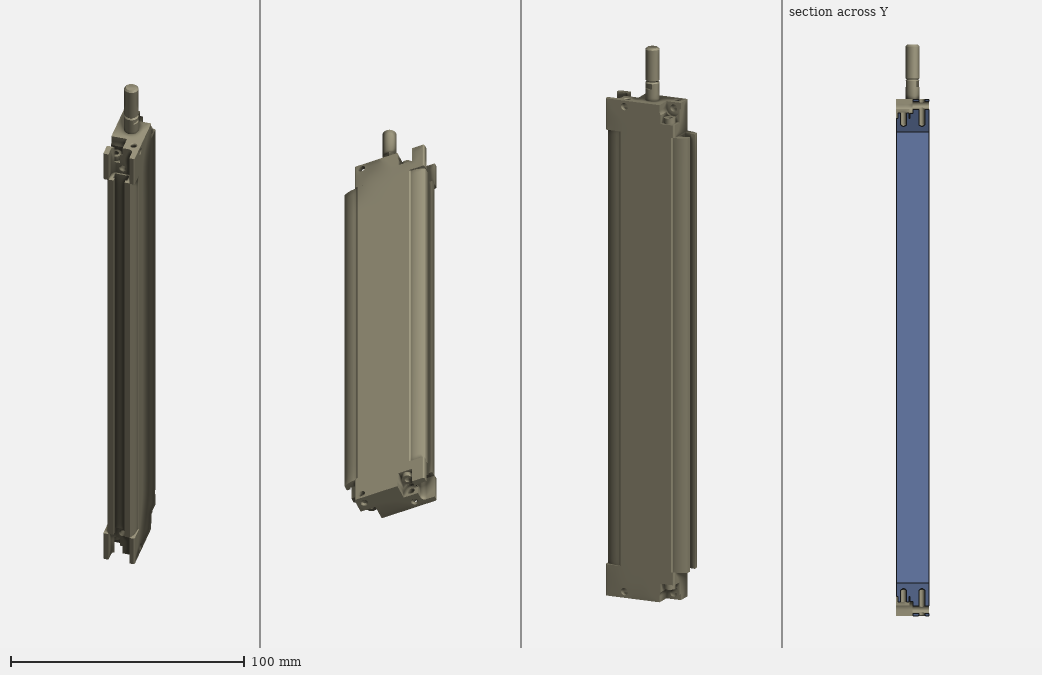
import cadquery as cq
import math

TOTAL_LENGTH = 245.0
CAP_LENGTH = 14.0
ROD_PROTRUSION = 23.3
TUBE_LENGTH = TOTAL_LENGTH - ROD_PROTRUSION - 2 * CAP_LENGTH
TUBE_TOP = CAP_LENGTH + TUBE_LENGTH

WIDTH = 14.0
HALF_WIDTH = WIDTH / 2
TUBE_HALF_DEPTH = 18.9
SIDE_FLAT_HALF_DEPTH = 12.0
FLANGE_ROOT_HALF_WIDTH = 6.4
FLANGE_ROOT_Y = 12.7
FLANGE_TIP_HALF_WIDTH = 5.0
FLANGE_BULGE = 0.5
TUBE_SLOT_FLOOR_Y = 14.0
TUBE_SLOT_HALF_MOUTH = 2.5
TUBE_SLOT_HALF_WIDTH = 3.2
LIP_THICKNESS = 1.7

CAP_BACK_Y = 13.5
CAP_SLOT_FLOOR_Y = -13.2
POST_TIP_Y = -19.0
CAP_SLOT_HALF_WIDTH = 4.7
CAP_SLOT_FILLET = 2.0
CAP_CORNER_RADIUS = 0.7

SCREW_HOLE_DIAMETER = 2.5
SCREW_HOLE_MOUTH = 3.2
CROSS_HOLE_DIAMETER = 3.2
SCREW_X = 4.0
SCREW_Y = 10.0
SCREW_HOLE_DEPTH = 11.0
CROSS_HOLE_DEPTH = 2.7
CROSS_RECESS_RADIUS = 3.5
BOSS_POCKET_WIDTH = 6.4
BOSS_POCKET_Y = -10.3
BOSS_POCKET_WALL_X = -1.2
BOSS_POCKET_DEPTH = 8.3
BOSS_DIAMETER = 5.0
BOSS_HEIGHT = 2.5
SLOT_HOLE_FROM_END = 11.0
SLOT_HOLE_DEPTH = 5.0
DRILL_TIP_ANGLE = 118.0

ROD_DIAMETER = 6.1
ROD_CHAMFER = 0.7
GROOVE_DIAMETER = 5.0
GROOVE_FROM_TOP = 14.5
GROOVE_WIDTH = 1.2
FLAT_LENGTH = 2.5
FLATS_ACROSS = 4.7
FLATS_ANGLE = -20.0


def mirrored_outline(right_side):
    """Points of a right-hand side followed by their mirror images across the YZ plane."""
    return right_side + [(-x, y) for x, y in reversed(right_side)]


def slot_cutter(direction):
    """T-slot along the tube; direction is +1 or -1 for the Y side it opens to."""
    lip_y = TUBE_HALF_DEPTH - LIP_THICKNESS
    half = [
        (TUBE_SLOT_HALF_WIDTH, TUBE_SLOT_FLOOR_Y),
        (TUBE_SLOT_HALF_WIDTH, lip_y),
        (TUBE_SLOT_HALF_MOUTH, lip_y),
        (TUBE_SLOT_HALF_MOUTH, TUBE_HALF_DEPTH),
    ]
    outline = [(x, direction * y) for x, y in mirrored_outline(half)]
    return cq.Workplane("XY").polyline(outline).close().extrude(TUBE_LENGTH)


def make_tube():
    """Flat-sided bar whose four slot flanges step in from the sides and curve to narrow tips."""
    arc_mid = (
        (FLANGE_ROOT_HALF_WIDTH + FLANGE_TIP_HALF_WIDTH) / 2 + FLANGE_BULGE,
        (FLANGE_ROOT_Y + TUBE_HALF_DEPTH) / 2,
    )
    profile = cq.Workplane("XY").moveTo(HALF_WIDTH, -SIDE_FLAT_HALF_DEPTH)
    for side in (1, -1):
        profile = (
            profile.lineTo(side * HALF_WIDTH, side * SIDE_FLAT_HALF_DEPTH)
            .lineTo(side * FLANGE_ROOT_HALF_WIDTH, side * FLANGE_ROOT_Y)
            .threePointArc(
                (side * arc_mid[0], side * arc_mid[1]),
                (side * FLANGE_TIP_HALF_WIDTH, side * TUBE_HALF_DEPTH),
            )
            .lineTo(-side * FLANGE_TIP_HALF_WIDTH, side * TUBE_HALF_DEPTH)
            .threePointArc(
                (-side * arc_mid[0], side * arc_mid[1]),
                (-side * FLANGE_ROOT_HALF_WIDTH, side * FLANGE_ROOT_Y),
            )
            .lineTo(-side * HALF_WIDTH, side * SIDE_FLAT_HALF_DEPTH)
        )
    tube = profile.close().extrude(TUBE_LENGTH)
    for direction in (1, -1):
        tube = tube.cut(slot_cutter(direction))
    return tube.translate((0, 0, CAP_LENGTH))


def drilled_hole(diameter, depth):
    """Drill shape along +Z from the origin, with a chamfered mouth and a conical tip."""
    radius = diameter / 2
    tip = radius / math.tan(math.radians(DRILL_TIP_ANGLE / 2))
    mouth_radius = SCREW_HOLE_MOUTH / 2
    outline = [
        (0, 0),
        (mouth_radius, 0),
        (radius, mouth_radius - radius),
        (radius, depth),
        (0, depth + tip),
    ]
    return cq.Workplane("XZ").polyline(outline).close().revolve(360, (0, 0, 0), (0, 1, 0))


def cap_blank():
    """Cap block with two posts towards -Y and a slot between them with rounded floor corners."""
    depth = CAP_BACK_Y - POST_TIP_Y
    slot_depth = CAP_SLOT_FLOOR_Y - POST_TIP_Y
    slot = (
        cq.Workplane("XY")
        .box(2 * CAP_SLOT_HALF_WIDTH, slot_depth, CAP_LENGTH, centered=(True, False, False))
        .edges("|Z and >Y")
        .fillet(CAP_SLOT_FILLET)
        .translate((0, POST_TIP_Y, 0))
    )
    return (
        cq.Workplane("XY")
        .box(WIDTH, depth, CAP_LENGTH, centered=(True, False, False))
        .edges("|Z")
        .fillet(CAP_CORNER_RADIUS)
        .translate((0, POST_TIP_Y, 0))
        .cut(slot)
    )


def corner_pocket():
    """Recess at the -X, -Y corner: a round-ended recess around the cross hole and
    a deeper square pocket that leaves a round boss around the end-face screw hole."""
    cross_recess = (
        cq.Workplane("YZ")
        .moveTo(-SCREW_Y - CROSS_RECESS_RADIUS, 0)
        .lineTo(-SCREW_Y - CROSS_RECESS_RADIUS, CROSS_HOLE_DEPTH)
        .threePointArc(
            (-SCREW_Y, CROSS_HOLE_DEPTH + CROSS_RECESS_RADIUS),
            (-SCREW_Y + CROSS_RECESS_RADIUS, CROSS_HOLE_DEPTH),
        )
        .lineTo(-SCREW_Y + CROSS_RECESS_RADIUS, 0)
        .close()
        .extrude(-HALF_WIDTH)
    )
    pocket_length = BOSS_POCKET_WALL_X + HALF_WIDTH
    boss_pocket = (
        cq.Workplane("XY")
        .box(pocket_length, BOSS_POCKET_WIDTH, BOSS_POCKET_DEPTH, centered=(False, True, False))
        .translate((-HALF_WIDTH, BOSS_POCKET_Y, 0))
    )
    boss = (
        cq.Workplane("XY", origin=(-SCREW_X, -SCREW_Y, BOSS_POCKET_DEPTH - BOSS_HEIGHT))
        .circle(BOSS_DIAMETER / 2)
        .extrude(BOSS_HEIGHT)
    )
    return cross_recess.union(boss_pocket).cut(boss)


def make_cap():
    """End cap with its outer end face at Z = 0 and its tube face at Z = CAP_LENGTH."""
    cap = cap_blank()
    for turn in (0, 180):
        cap = cap.cut(corner_pocket().rotate((0, 0, 0), (0, 0, 1), turn))
    for y in (-SCREW_Y, SCREW_Y):
        cross_hole = (
            cq.Workplane("YZ", origin=(-HALF_WIDTH, y, CROSS_HOLE_DEPTH))
            .circle(CROSS_HOLE_DIAMETER / 2)
            .extrude(WIDTH)
        )
        cap = cap.cut(cross_hole)
        for x in (-SCREW_X, SCREW_X):
            cap = cap.cut(drilled_hole(SCREW_HOLE_DIAMETER, SCREW_HOLE_DEPTH).translate((x, y, 0)))
    slot_hole = (
        drilled_hole(SCREW_HOLE_DIAMETER, SLOT_HOLE_DEPTH)
        .rotate((0, 0, 0), (1, 0, 0), -90)
        .translate((0, CAP_SLOT_FLOOR_Y, SLOT_HOLE_FROM_END))
    )
    return cap.cut(slot_hole)


def make_rod_cap():
    """Upper cap: the lower cap mirrored in Z, with a through bore for the rod."""
    bore = cq.Workplane("XY").circle(ROD_DIAMETER / 2).extrude(CAP_LENGTH)
    cap = make_cap().mirror("XY").translate((0, 0, CAP_LENGTH))
    return cap.cut(bore).translate((0, 0, TUBE_TOP))


def make_rod():
    """Rod from the tube's upper end through the cap, with a groove and two flats below it."""
    groove_top = TOTAL_LENGTH - GROOVE_FROM_TOP
    groove_bottom = groove_top - GROOVE_WIDTH
    rod = (
        cq.Workplane("XY", origin=(0, 0, TUBE_TOP))
        .circle(ROD_DIAMETER / 2)
        .extrude(CAP_LENGTH + ROD_PROTRUSION)
        .faces(">Z")
        .chamfer(ROD_CHAMFER)
    )
    groove_outline = [
        (ROD_DIAMETER / 2, groove_bottom),
        (GROOVE_DIAMETER / 2, groove_bottom + GROOVE_WIDTH / 2),
        (ROD_DIAMETER / 2, groove_top),
    ]
    groove = cq.Workplane("XZ").polyline(groove_outline).close().revolve(360, (0, 0, 0), (0, 1, 0))
    outside_flats = (
        cq.Workplane("XY", origin=(0, 0, groove_bottom - FLAT_LENGTH))
        .rect(2 * ROD_DIAMETER, 2 * ROD_DIAMETER)
        .rect(FLATS_ACROSS, 2 * ROD_DIAMETER)
        .extrude(FLAT_LENGTH)
        .rotate((0, 0, 0), (0, 0, 1), FLATS_ANGLE)
    )
    return rod.cut(groove).cut(outside_flats)


tube = make_tube()
plain_cap = make_cap()
rod_cap = make_rod_cap()
rod = make_rod()

result = cq.Compound.makeCompound([tube.val(), plain_cap.val(), rod_cap.val(), rod.val()])